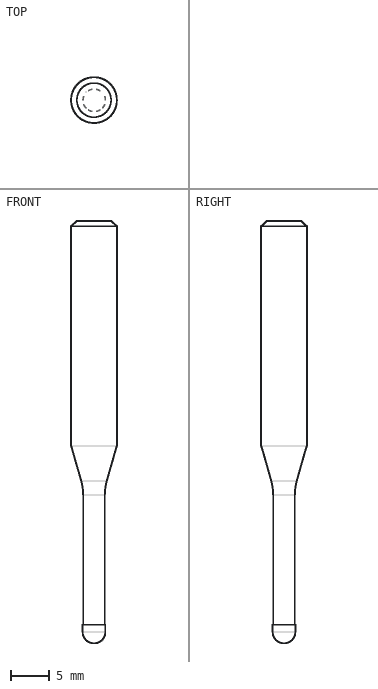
import cadquery as cq
import math

total_length = 55.0
shank_diameter = 6.0
shank_radius = shank_diameter / 2

ball_radius = shank_radius / 2
tip_length = 2.4

neck_radius = 1.45
blend_start_height = 19.35
blend_radius = 6.6
taper_angle = math.radians(16.0)

chamfer_width = 0.75
chamfer_height = 0.7


def make_cutting_tip():
    """Short cylinder ending in a half ball."""
    arc_offset = ball_radius * math.sqrt(0.5)
    profile = (
        cq.Workplane("XZ")
        .moveTo(0, 0)
        .threePointArc((arc_offset, ball_radius - arc_offset), (ball_radius, ball_radius))
        .lineTo(ball_radius, tip_length)
        .lineTo(0, tip_length)
        .close()
    )
    return profile.revolve(360, (0, 0, 0), (0, 1, 0))


def blend_point(angle):
    """Point on the blend where the wall leans outward by the given angle."""
    radius = neck_radius + blend_radius * (1 - math.cos(angle))
    height = blend_start_height + blend_radius * math.sin(angle)
    return radius, height


def make_holder():
    """Neck, tangent blend, taper and chamfered shank, standing on the cutting tip."""
    blend_end = blend_point(taper_angle)
    taper_height = (shank_radius - blend_end[0]) / math.tan(taper_angle)
    shank_start_height = blend_end[1] + taper_height
    profile = (
        cq.Workplane("XZ")
        .moveTo(0, tip_length)
        .lineTo(neck_radius, tip_length)
        .lineTo(neck_radius, blend_start_height)
        .threePointArc(blend_point(taper_angle / 2), blend_end)
        .lineTo(shank_radius, shank_start_height)
        .lineTo(shank_radius, total_length - chamfer_height)
        .lineTo(shank_radius - chamfer_width, total_length)
        .lineTo(0, total_length)
        .close()
    )
    return profile.revolve(360, (0, 0, 0), (0, 1, 0))


cutting_tip = make_cutting_tip()
holder = make_holder()

result = cq.Compound.makeCompound([cutting_tip.val(), holder.val()])